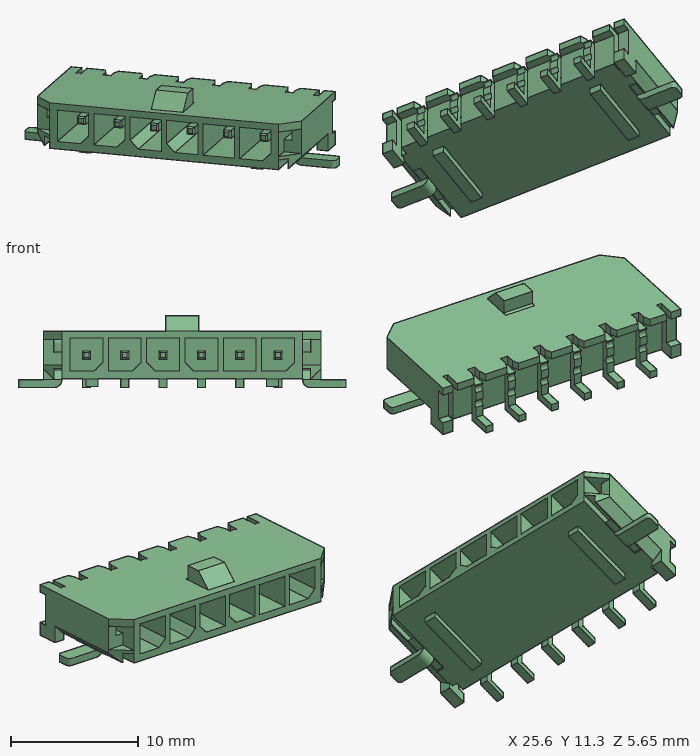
import cadquery as cq


PIN_COUNT = 6
PITCH = 3.0
PIN_X = [(i - (PIN_COUNT - 1) / 2) * PITCH for i in range(PIN_COUNT)]
AXIS_Z = 2.55

HALF_WIDTH = 10.88
FACE_HALF_WIDTH = 9.41
DEPTH = 9.88
BODY_DEPTH = 9.2
BOTTOM_Z = 0.7
TOP_Z = 4.4
PLATE_Z = 3.77
CORNER_DEPTH = 1.39
CORNER_POCKET_Z = 1.77
EDGE_BEVEL = 0.8

CAVITY_SIZE = 2.56
CAVITY_Z = 1.3
CAVITY_DEPTH = 7.18
KEY_CHAMFER = 0.67
CAVITY_KEYS = [1, 1, -1, -1, 0, 1]

SIDE_FOOT_START = 8.03
SIDE_FOOT_TOP_Z = 1.18
STANDOFF_Z = 0.08
RAIL_INNER_X = 6.6
RAIL_OUTER_X = 7.55
RAIL_START = 1.7
RAIL_LENGTH = 6.03

REAR_SLOT_INNER_X = 9.57
REAR_SLOT_OUTER_X = 9.98
REAR_SLOT_DEPTH = 1.45

NOTCH_HALF_WIDTH = 0.55
NOTCH_DEPTH = 0.6

LATCH_HALF_WIDTH = 1.3
LATCH_TOP_Z = 5.65
LATCH_FRONT = 0.77
LATCH_BACK = 3.3
LATCH_RAMP = LATCH_TOP_Z - TOP_Z
LATCH_HEEL_LENGTH = 0.23
LATCH_HEEL_HEIGHT = 0.1

PIN_SIZE = 0.65
PIN_TIP_Y = 2.05
PIN_TIP_CHAMFER = 0.13
BLADE_FRONT = 8.57
BLADE_BACK = 9.8
BLADE_HALF_HEIGHT = 1.08
BLADE_TOP_Z = AXIS_Z + BLADE_HALF_HEIGHT
BLADE_BOTTOM_Z = AXIS_Z - BLADE_HALF_HEIGHT
TAIL_END = 11.35
TAIL_THICKNESS = 0.62
SCALLOP_DIAMETER = 0.8
SCALLOP_RADIUS = SCALLOP_DIAMETER / 2
SCALLOP_DEPTH = 0.15
SCALLOP_OFFSET = 0.7

NAIL_END_X = 12.82
NAIL_THICKNESS = 0.62
NAIL_INNER_X = FACE_HALF_WIDTH
NAIL_OUTER_X = NAIL_INNER_X + NAIL_THICKNESS
NAIL_Y = 4.6
NAIL_FOOT_WIDTH = 1.35
NAIL_FOOT_RADIUS = 0.3
NAIL_BEND_RADIUS = NAIL_THICKNESS
NAIL_BASE_HALF = 1.92
NAIL_NECK_HALF = 1.15
NAIL_TOP_Z = 3.87
NAIL_TOP_RADIUS = 0.4

WINDOW_OUTER_X = 10.08
WINDOW_Z = 2.77
LOWER_NOTCH_TOP_Z = BOTTOM_Z + EDGE_BEVEL


def block(x0, x1, y0, y1, z0, z1):
    """Box between two opposite corners."""
    return cq.Workplane("XY").box(x1 - x0, y1 - y0, z1 - z0, centered=False).translate((x0, y0, z0))


def both_sides(shape):
    """A feature of the +X side together with its mirror image."""
    return shape.union(shape.mirror("YZ"))


def extrude_x(sketch, x0, x1):
    """Extrude a closed YZ sketch from x0 to x1."""
    return sketch.extrude(x1 - x0).translate((x0, 0, 0))


def nail_plate():
    """Upright plate of the +X nail, on a wide base with 45 degree shoulders."""
    shoulder_z = NAIL_THICKNESS + NAIL_BASE_HALF - NAIL_NECK_HALF
    sketch = cq.Workplane("YZ").polyline([
        (NAIL_Y - NAIL_BASE_HALF, NAIL_THICKNESS),
        (NAIL_Y + NAIL_BASE_HALF, NAIL_THICKNESS),
        (NAIL_Y + NAIL_NECK_HALF, shoulder_z),
        (NAIL_Y + NAIL_NECK_HALF, NAIL_TOP_Z),
        (NAIL_Y - NAIL_NECK_HALF, NAIL_TOP_Z),
        (NAIL_Y - NAIL_NECK_HALF, shoulder_z),
    ]).close()
    plate = extrude_x(sketch, NAIL_INNER_X, NAIL_OUTER_X)
    return plate.edges("|X and >Z").fillet(NAIL_TOP_RADIUS)


def make_nail():
    """+X hold-down nail: upright plate and a solder foot bent outwards."""
    half_foot = NAIL_FOOT_WIDTH / 2
    foot = block(NAIL_INNER_X, NAIL_END_X, NAIL_Y - half_foot, NAIL_Y + half_foot, 0, NAIL_THICKNESS)
    foot = foot.edges("|Z and >X").fillet(NAIL_FOOT_RADIUS)
    bend_space = block(NAIL_INNER_X, NAIL_INNER_X + NAIL_BEND_RADIUS,
                       NAIL_Y - half_foot, NAIL_Y + half_foot, 0, NAIL_BEND_RADIUS)
    bend = (
        cq.Workplane("XZ")
        .center(NAIL_INNER_X + NAIL_BEND_RADIUS, NAIL_BEND_RADIUS)
        .circle(NAIL_BEND_RADIUS)
        .extrude(-NAIL_FOOT_WIDTH)
        .translate((0, NAIL_Y - half_foot, 0))
    )
    foot = foot.cut(bend_space).union(bend_space.intersect(bend))
    return foot.union(nail_plate())


def make_pin(x):
    """Square contact pin with a scalloped rear blade and a solder tail."""
    half = PIN_SIZE / 2
    contact = block(x - half, x + half, PIN_TIP_Y, BLADE_FRONT, AXIS_Z - half, AXIS_Z + half)
    contact = contact.faces("<Y").chamfer(PIN_TIP_CHAMFER)
    sketch = cq.Workplane("YZ").polyline([
        (BLADE_FRONT, BLADE_TOP_Z),
        (BLADE_BACK, BLADE_TOP_Z),
        (BLADE_BACK, TAIL_THICKNESS),
        (TAIL_END, TAIL_THICKNESS),
        (TAIL_END, 0),
        (BODY_DEPTH, 0),
        (BODY_DEPTH, BLADE_BOTTOM_Z),
        (BLADE_FRONT, BLADE_BOTTOM_Z),
    ]).close()
    blade = extrude_x(sketch, x - half, x + half)
    scallop_y = BLADE_BACK - SCALLOP_DEPTH + SCALLOP_RADIUS
    scallops = (
        cq.Workplane("YZ")
        .pushPoints([(scallop_y, AXIS_Z - SCALLOP_OFFSET), (scallop_y, AXIS_Z + SCALLOP_OFFSET)])
        .circle(SCALLOP_RADIUS)
    )
    return contact.union(blade.cut(extrude_x(scallops, x - half, x + half)))


def make_body():
    """Housing block with its top plate overhang, side feet and standoff rails."""
    body = block(-HALF_WIDTH, HALF_WIDTH, 0, BODY_DEPTH, BOTTOM_Z, TOP_Z)
    top_plate = block(-HALF_WIDTH, HALF_WIDTH, 0, DEPTH, PLATE_Z, TOP_Z)
    body = body.union(top_plate)
    bevel = (
        cq.Workplane("XZ")
        .polyline([(HALF_WIDTH, BOTTOM_Z), (HALF_WIDTH - EDGE_BEVEL, BOTTOM_Z),
                   (HALF_WIDTH, BOTTOM_Z + EDGE_BEVEL)])
        .close()
        .extrude(-SIDE_FOOT_START)
    )
    foot = block(REAR_SLOT_OUTER_X, HALF_WIDTH, SIDE_FOOT_START, DEPTH, STANDOFF_Z, SIDE_FOOT_TOP_Z)
    rail = block(RAIL_INNER_X, RAIL_OUTER_X, RAIL_START, RAIL_START + RAIL_LENGTH, STANDOFF_Z, BOTTOM_Z)
    return body.cut(both_sides(bevel)).union(both_sides(foot)).union(both_sides(rail))


def make_latch():
    """Ramped latch on the top face with a small heel behind it."""
    sketch = cq.Workplane("YZ").polyline([
        (LATCH_FRONT, TOP_Z),
        (LATCH_FRONT + LATCH_RAMP, LATCH_TOP_Z),
        (LATCH_BACK, LATCH_TOP_Z),
        (LATCH_BACK, TOP_Z + LATCH_HEEL_HEIGHT),
        (LATCH_BACK + LATCH_HEEL_LENGTH, TOP_Z),
    ]).close()
    return extrude_x(sketch, -LATCH_HALF_WIDTH, LATCH_HALF_WIDTH)


def corner_cuts():
    """Front corner chamfer with a deeper triangular pocket, on the +X side."""
    chamfer = (
        cq.Workplane("XY")
        .polyline([(FACE_HALF_WIDTH, 0), (HALF_WIDTH, 0), (HALF_WIDTH, CORNER_DEPTH)])
        .close()
        .extrude(TOP_Z)
    )
    pocket = block(FACE_HALF_WIDTH, HALF_WIDTH, 0, CORNER_DEPTH, CORNER_POCKET_Z, PLATE_Z)
    return chamfer.union(pocket)


def nail_recess():
    """Fitted seat of the +X nail, its two front openings and the slot at the rear."""
    window = block(NAIL_INNER_X, WINDOW_OUTER_X, CORNER_DEPTH, NAIL_Y, WINDOW_Z, PLATE_Z)
    lower_notch = block(NAIL_INNER_X, NAIL_OUTER_X, 0, NAIL_Y, BOTTOM_Z, LOWER_NOTCH_TOP_Z)
    rear_slot = block(REAR_SLOT_INNER_X, REAR_SLOT_OUTER_X, DEPTH - REAR_SLOT_DEPTH, DEPTH, 0, TOP_Z)
    return nail_plate().union(window).union(lower_notch).union(rear_slot)


def cavity(x, key):
    """Square mating cavity with one lower corner optionally keyed."""
    half = CAVITY_SIZE / 2
    opening = block(x - half, x + half, 0, CAVITY_DEPTH, CAVITY_Z, CAVITY_Z + CAVITY_SIZE)
    if key == 0:
        return opening
    side = ">X" if key > 0 else "<X"
    return opening.edges("|Y and <Z").edges(side).chamfer(KEY_CHAMFER)


def pin_seat(x):
    """Hole for the contact, slot for the blade and tapered notch in the top plate."""
    half = PIN_SIZE / 2
    hole = block(x - half, x + half, CAVITY_DEPTH, BLADE_FRONT, AXIS_Z - half, AXIS_Z + half)
    slot = block(x - half, x + half, BLADE_FRONT, DEPTH, BLADE_BOTTOM_Z, TOP_Z)
    notch = (
        cq.Workplane("XY", origin=(x, DEPTH, PLATE_Z))
        .polyline([(-NOTCH_HALF_WIDTH, 0), (NOTCH_HALF_WIDTH, 0),
                   (half, -NOTCH_DEPTH), (-half, -NOTCH_DEPTH)])
        .close()
        .extrude(TOP_Z - PLATE_Z)
    )
    return hole.union(slot).union(notch)


def make_housing():
    """Complete housing: body and latch with all recesses cut."""
    housing = make_body().union(make_latch())
    housing = housing.cut(both_sides(corner_cuts()))
    housing = housing.cut(nail_recess()).cut(nail_recess().mirror("YZ"))
    for x, key in zip(PIN_X, CAVITY_KEYS):
        housing = housing.cut(cavity(x, key)).cut(pin_seat(x))
    return housing


housing = make_housing().solids()
pins = [make_pin(x).solids() for x in PIN_X]
right_nail = make_nail().solids()
left_nail = right_nail.mirror("YZ").solids()

result = cq.Compound.makeCompound(
    [housing.val(), *[pin.val() for pin in pins], right_nail.val(), left_nail.val()]
)